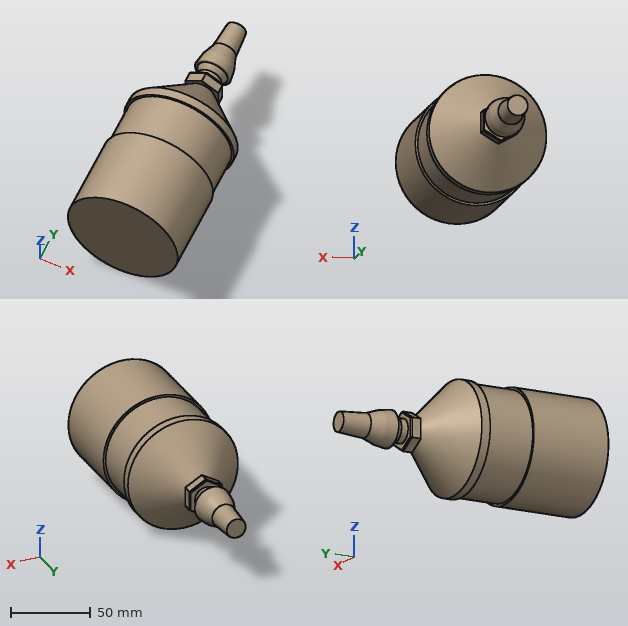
import cadquery as cq
import math

LENGTH = 174.6

SLEEVE_DIAMETER = 76.1
BODY_DIAMETER = 73.0
SLEEVE_END = 54.3
FLANGE_START = 86.0
FLANGE_THICKNESS = 6.1
CONE_TOP_DIAMETER = 18.0

NUT_START = 121.2
NUT_THICKNESS = 7.5
NUT_ACROSS_FLATS = 22.7
NUT_CHAMFER_LENGTH = 1.0
NUT_CHAMFER_DEPTH = 0.5

NECK_DIAMETER = 16.2
NECK_END = 133.4
BULB_START = 137.5
BULB_SEAT_DIAMETER = 21.0
BULB_DIAMETER = 25.0
BULB_SHOULDER_DIAMETER = 22.7
BULB_SHOULDER = 146.1
BULB_END = 155.5
COLLAR_LENGTH = 0.5
BULB_RIM_RADIUS = 0.9
SEAT_BULGE = 0.26
TIP_DIAMETER = 13.5
TIP_CHAMFER = 0.5
TIP_CHAMFER_DEPTH = 0.2

flange_end = FLANGE_START + FLANGE_THICKNESS
nut_end = NUT_START + NUT_THICKNESS


def make_body():
    """Sleeve, recessed body, flange and cone, revolved about Y."""
    sleeve_radius = SLEEVE_DIAMETER / 2
    body_radius = BODY_DIAMETER / 2
    return (
        cq.Workplane("XY")
        .lineTo(sleeve_radius, 0)
        .lineTo(sleeve_radius, SLEEVE_END)
        .lineTo(body_radius, SLEEVE_END)
        .lineTo(body_radius, FLANGE_START)
        .lineTo(sleeve_radius, FLANGE_START)
        .lineTo(sleeve_radius, flange_end)
        .lineTo(CONE_TOP_DIAMETER / 2, NUT_START)
        .lineTo(0, NUT_START)
        .close()
        .revolve(360, (0, 0, 0), (0, 1, 0))
    )


def make_nut():
    """Hexagon with corners on +Z and -Z and its far edges chamfered."""
    across_corners = NUT_ACROSS_FLATS / math.cos(math.pi / 6)
    return (
        cq.Workplane("XZ", origin=(0, NUT_START, 0))
        .transformed(rotate=(0, 0, 90))
        .polygon(6, across_corners)
        .extrude(-NUT_THICKNESS)
        .faces(">Y")
        .chamfer(NUT_CHAMFER_LENGTH, NUT_CHAMFER_DEPTH)
    )


def make_strain_relief():
    """Neck, domed seat, rounded bulb, short collar and tapered cable sleeve, revolved about Y."""
    neck_radius = NECK_DIAMETER / 2
    seat_radius = BULB_SEAT_DIAMETER / 2
    bulb_radius = BULB_DIAMETER / 2
    tip_radius = TIP_DIAMETER / 2
    return (
        cq.Workplane("XY")
        .moveTo(0, nut_end)
        .lineTo(neck_radius, nut_end)
        .lineTo(neck_radius, NECK_END)
        .sagittaArc((seat_radius, BULB_START), -SEAT_BULGE)
        .lineTo(bulb_radius - BULB_RIM_RADIUS, BULB_START)
        .radiusArc((bulb_radius, BULB_START + BULB_RIM_RADIUS), -BULB_RIM_RADIUS)
        .lineTo(BULB_SHOULDER_DIAMETER / 2, BULB_SHOULDER)
        .lineTo(neck_radius, BULB_END)
        .lineTo(neck_radius, BULB_END + COLLAR_LENGTH)
        .lineTo(tip_radius, LENGTH - TIP_CHAMFER)
        .lineTo(tip_radius - TIP_CHAMFER_DEPTH, LENGTH)
        .lineTo(0, LENGTH)
        .close()
        .revolve(360, (0, 0, 0), (0, 1, 0))
    )


result = make_body().union(make_nut()).union(make_strain_relief())